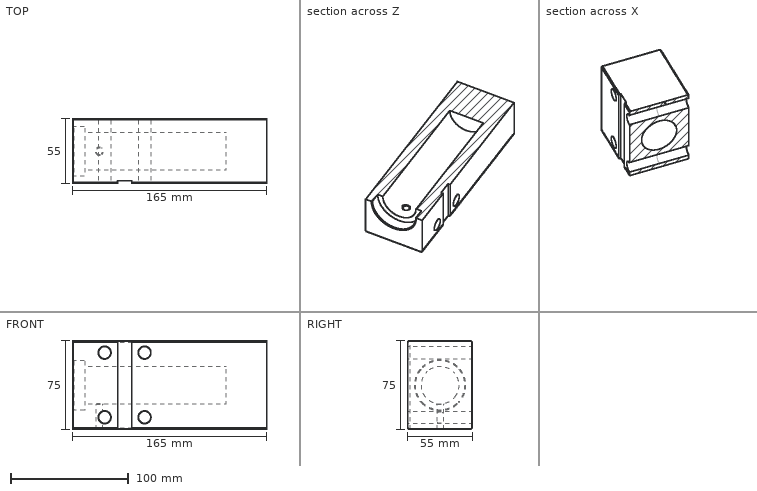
import cadquery as cq

LENGTH = 165.0
WIDTH = 55.0
HEIGHT = 75.0
EDGE_CHAMFER = 1.0

BORE_DIAMETER = 32.0
BORE_DEPTH = 130.0
COUNTERBORE_DIAMETER = 42.0
COUNTERBORE_DEPTH = 10.0
MOUTH_CHAMFER = 0.75

PORT_DIAMETER = 5.5
PORT_RIM_DIAMETER = 6.5
PORT_DISTANCE = 22.25

SLOT_START = 38.0
SLOT_WIDTH = 12.0
SLOT_DEPTH = 2.0

HOLE_DIAMETER = 10.5
HOLE_DISTANCES = (27.0, 61.0)
HOLE_SPACING_Z = 55.0

X_END = -LENGTH / 2
Y_FACE = -WIDTH / 2


def make_block():
    """Rectangular block with its four long edges chamfered."""
    return cq.Workplane("XY").box(LENGTH, WIDTH, HEIGHT).edges("|X").chamfer(EDGE_CHAMFER)


def make_bore():
    """Bore, counterbore and chamfered mouth as one turned shape about X."""
    bore_radius = BORE_DIAMETER / 2
    counterbore_radius = COUNTERBORE_DIAMETER / 2
    profile = [
        (0, 0),
        (0, counterbore_radius + MOUTH_CHAMFER),
        (MOUTH_CHAMFER, counterbore_radius),
        (COUNTERBORE_DEPTH, counterbore_radius),
        (COUNTERBORE_DEPTH, bore_radius),
        (BORE_DEPTH, bore_radius),
        (BORE_DEPTH, 0),
    ]
    turned = cq.Workplane("XY").polyline(profile).close().revolve(360, (0, 0, 0), (1, 0, 0))
    return turned.translate((X_END, 0, 0))


def make_port():
    """Port cutter with a 45 degree countersink where it breaks into the bore."""
    port_radius = PORT_DIAMETER / 2
    rim_radius = PORT_RIM_DIAMETER / 2
    bore_floor = -BORE_DIAMETER / 2
    cone_bottom = bore_floor - (rim_radius - port_radius)
    cone_top = bore_floor + rim_radius
    profile = [
        (0, -HEIGHT / 2),
        (port_radius, -HEIGHT / 2),
        (port_radius, cone_bottom),
        (2 * rim_radius, cone_top),
        (0, cone_top),
    ]
    port = cq.Workplane("XZ").polyline(profile).close().revolve(360, (0, 0, 0), (0, 1, 0))
    return port.translate((X_END + PORT_DISTANCE, 0, 0))


def make_slot():
    """Key slot cutter, open at the top and bottom of the block."""
    slot = cq.Workplane("XY").box(SLOT_WIDTH, SLOT_DEPTH, HEIGHT, centered=(False, False, True))
    return slot.translate((X_END + SLOT_START, Y_FACE, 0))


def make_mounting_holes():
    """Mounting hole cutters, running through the full width."""
    centres = [
        (X_END + distance, side * HOLE_SPACING_Z / 2)
        for distance in HOLE_DISTANCES
        for side in (-1, 1)
    ]
    holes = cq.Workplane("XZ").pushPoints(centres).circle(HOLE_DIAMETER / 2)
    return holes.extrude(WIDTH / 2, both=True)


result = (
    make_block()
    .cut(make_bore())
    .cut(make_port())
    .cut(make_slot())
    .cut(make_mounting_holes())
)